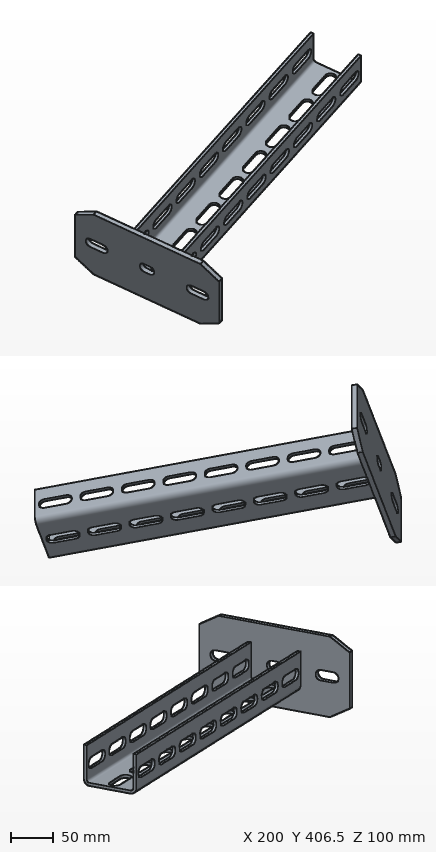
import cadquery as cq
import math

total_length = 406.5

plate_width = 200.0
plate_height = 100.0
plate_thickness = 6.5
corner_cut_width = 26.0
corner_cut_angle = 30.0
corner_cut_height = corner_cut_width * math.tan(math.radians(corner_cut_angle))

plate_slot_width = 13.0
plate_side_slot_length = 30.0
plate_center_slot_length = 20.0
plate_side_slot_offset = 70.0

channel_width = 70.0
channel_height = 50.0
channel_length = total_length - plate_thickness
wall = 4.0
inner_bend_radius = 3.5
outer_bend_radius = 8.0

channel_slot_count = 8
channel_slot_length = 40.0
channel_slot_width = 14.0
channel_slot_pitch = channel_length / channel_slot_count


def make_plate():
    """End plate with four cut corners; its back face lies at y = plate_thickness."""
    half_width = plate_width / 2
    half_height = plate_height / 2
    flat_half_width = half_width - corner_cut_width
    flat_half_height = half_height - corner_cut_height
    outline = [
        (half_width, flat_half_height),
        (flat_half_width, half_height),
        (-flat_half_width, half_height),
        (-half_width, flat_half_height),
        (-half_width, -flat_half_height),
        (-flat_half_width, -half_height),
        (flat_half_width, -half_height),
        (half_width, -flat_half_height),
    ]
    return cq.Workplane("XZ").polyline(outline).close().extrude(-plate_thickness)


def plate_slot(x, length):
    """Cutter for a slot lying along X through the end plate."""
    return (
        cq.Workplane("XZ")
        .center(x, 0)
        .slot2D(length, plate_slot_width)
        .extrude(-plate_thickness)
    )


def bent_bar(width, height, bend_radius):
    """Bar along the channel, flat on top at the flange edges, with rounded lower edges."""
    flange_top = channel_height / 2
    return (
        cq.Workplane("XY")
        .box(width, channel_length, height)
        .edges("|Y and <Z")
        .fillet(bend_radius)
        .translate((0, plate_thickness + channel_length / 2, flange_top - height / 2))
    )


def make_channel():
    """U section with rounded bends between the floor and the flanges."""
    outside = bent_bar(channel_width, channel_height, outer_bend_radius)
    inside = bent_bar(channel_width - 2 * wall, channel_height - wall, inner_bend_radius)
    return outside.cut(inside)


def channel_slots():
    """Cutters for the slot row in the floor and the matching rows through both flanges."""
    centers = [
        (0, plate_thickness + (i + 0.5) * channel_slot_pitch)
        for i in range(channel_slot_count)
    ]
    floor_slots = (
        cq.Workplane("XY", origin=(0, 0, -channel_height / 2))
        .pushPoints(centers)
        .slot2D(channel_slot_length, channel_slot_width, 90)
        .extrude(wall)
    )
    flange_slots = (
        cq.Workplane("XY")
        .pushPoints(centers)
        .slot2D(channel_slot_length, channel_slot_width, 90)
        .extrude(channel_width / 2, both=True)
        .rotate((0, 0, 0), (0, 1, 0), 90)
    )
    return floor_slots, flange_slots


plate = make_plate()
plate = plate.cut(plate_slot(0, plate_center_slot_length))
for side in (-1, 1):
    plate = plate.cut(plate_slot(side * plate_side_slot_offset, plate_side_slot_length))

channel = make_channel()
for slots in channel_slots():
    channel = channel.cut(slots)

result = plate.union(channel)